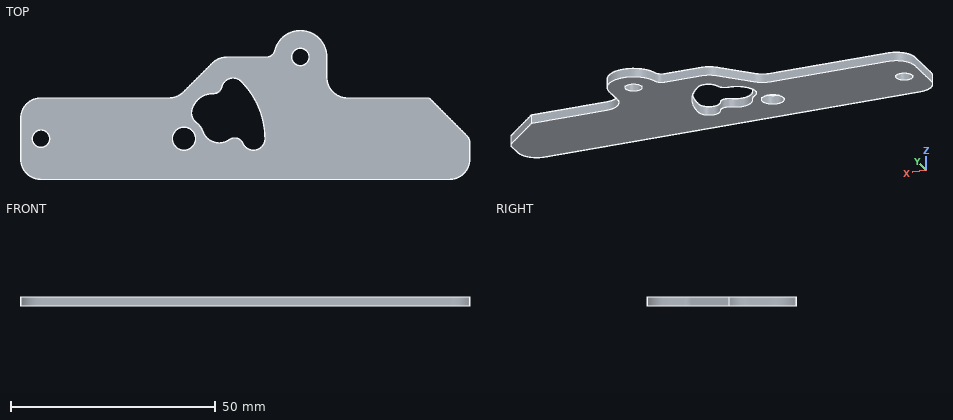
import cadquery as cq
import math

thickness = 2.3
bar_length = 110.0
bar_width = 20.0
corner_radius = 5.0
nose_chamfer = 10.0
nose_radius = 2.5

shoulder_top = 30.0
shoulder_rise = shoulder_top - bar_width
ramp_start_x = 38.42

ear_radius = 6.5
ear_center = (68.5, shoulder_top)
ear_right_x = ear_center[0] + ear_radius
ear_left_x = ear_center[0] - ear_radius
ear_neck_radius = 2.0

end_hole_diameter = 4.2
pivot_hole_diameter = 5.6
ear_hole_diameter = 4.2
end_hole_center = (corner_radius, bar_width / 2)
pivot = (40.0, bar_width / 2)

slot_radius = 17.0
slot_end_radius = 2.8
slot_sweep = 45.0
hub_radius = 5.0
lower_lobe_radius = 4.2
lower_lobe_angle = 20.3
upper_lobe_radius = 5.2
upper_lobe_distance = 9.1
upper_lobe_angle = 39.5
lobe_corner_radius = 3.0
bump_radius = 2.2


def about_pivot(distance, angle):
    """Point at a distance and an angle in degrees from the pivot."""
    turn = math.radians(angle)
    return (pivot[0] + distance * math.cos(turn), pivot[1] + distance * math.sin(turn))


def toward(start, target, distance):
    """Point at a distance from start, in the direction of target."""
    span = math.dist(start, target)
    return tuple(s + (t - s) * distance / span for s, t in zip(start, target))


def center_left_of(first, first_distance, second, second_distance):
    """Point at given distances from two points, left of the line from first to second."""
    span = math.dist(first, second)
    along = (first_distance**2 - second_distance**2 + span**2) / (2 * span)
    across = math.sqrt(first_distance**2 - along**2)
    ux = (second[0] - first[0]) / span
    uy = (second[1] - first[1]) / span
    return (first[0] + along * ux - across * uy, first[1] + along * uy + across * ux)


def round_corner(body, corner, radius):
    """Fillet the upright edge that stands at an outline corner."""
    place = (corner[0], corner[1], thickness / 2)
    return body.edges("|Z").edges(cq.selectors.NearestToPointSelector(place)).fillet(radius)


def make_plate():
    ramp_foot = (ramp_start_x, bar_width)
    ramp_head = (ramp_start_x + shoulder_rise, shoulder_top)
    ear_foot = (ear_right_x, bar_width)
    nose_tip = (bar_length, bar_width - nose_chamfer)
    outline = [
        (0, 0),
        (bar_length, 0),
        nose_tip,
        (bar_length - nose_chamfer, bar_width),
        ear_foot,
        (ear_right_x, shoulder_top),
    ]
    plate = (
        cq.Workplane("XY")
        .polyline(outline)
        .threePointArc((ear_center[0], shoulder_top + ear_radius), (ear_left_x, shoulder_top))
        .lineTo(*ramp_head)
        .lineTo(*ramp_foot)
        .lineTo(0, bar_width)
        .close()
        .extrude(thickness)
    )
    rounded = [(0, 0), (bar_length, 0), ear_foot, ramp_head, ramp_foot, (0, bar_width)]
    for corner in rounded:
        plate = round_corner(plate, corner, corner_radius)
    plate = round_corner(plate, nose_tip, nose_radius)
    return round_corner(plate, (ear_left_x, shoulder_top), ear_neck_radius)


def make_hole(center, diameter):
    return cq.Workplane("XY").center(*center).circle(diameter / 2).extrude(thickness)


def make_window():
    outer_radius = slot_radius + slot_end_radius
    slot_start = about_pivot(slot_radius, 0)
    slot_finish = about_pivot(slot_radius, slot_sweep)
    lower_lobe = about_pivot(hub_radius + lower_lobe_radius, lower_lobe_angle)
    upper_lobe = about_pivot(upper_lobe_distance, upper_lobe_angle)

    end_to_bump = slot_end_radius + bump_radius
    upper_bump = center_left_of(upper_lobe, upper_lobe_radius + bump_radius, slot_finish, end_to_bump)
    lower_bump = center_left_of(slot_start, end_to_bump, lower_lobe, lower_lobe_radius + bump_radius)
    lobe_corner = center_left_of(
        pivot, hub_radius + lobe_corner_radius, upper_lobe, upper_lobe_radius - lobe_corner_radius
    )

    return (
        cq.Workplane("XY")
        .moveTo(*about_pivot(outer_radius, 0))
        .threePointArc(about_pivot(outer_radius, slot_sweep / 2), about_pivot(outer_radius, slot_sweep))
        .tangentArcPoint(toward(slot_finish, upper_bump, slot_end_radius), relative=False)
        .tangentArcPoint(toward(upper_lobe, upper_bump, upper_lobe_radius), relative=False)
        .tangentArcPoint(toward(upper_lobe, lobe_corner, upper_lobe_radius), relative=False)
        .tangentArcPoint(toward(pivot, lobe_corner, hub_radius), relative=False)
        .tangentArcPoint(about_pivot(hub_radius, lower_lobe_angle), relative=False)
        .tangentArcPoint(toward(lower_lobe, lower_bump, lower_lobe_radius), relative=False)
        .tangentArcPoint(toward(slot_start, lower_bump, slot_end_radius), relative=False)
        .tangentArcPoint(about_pivot(outer_radius, 0), relative=False)
        .close()
        .extrude(thickness)
    )


result = (
    make_plate()
    .cut(make_hole(end_hole_center, end_hole_diameter))
    .cut(make_hole(pivot, pivot_hole_diameter))
    .cut(make_hole(ear_center, ear_hole_diameter))
    .cut(make_window())
)